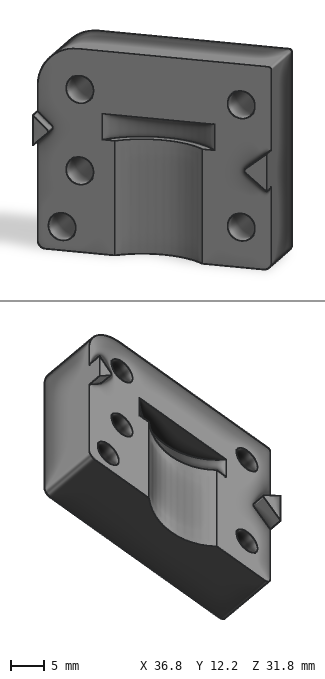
import cadquery as cq
import math

width = 36.83
block_depth = 9.9
height = 31.75
large_corner_radius = 6.35
bottom_corner_radius = 1.25
top_right_corner_radius = 0.5

hole_diameter = 4.3
left_hole_x = 6.65
right_hole_x = 32.08
upper_hole_z = 25.4
hole_centres = [
    (left_hole_x, upper_hole_z),
    (right_hole_x, upper_hole_z),
    (left_hole_x, upper_hole_z / 2),
    (right_hole_x, 6.3),
    (3.85, 3.72),
]

recess_x = 19.05
recess_axis_offset = 7.75
groove_width = 13.77
collar_width = 17.68
collar_bottom_z = 17.9
collar_top_z = 21.95

key_height = 2.3
key_tip_radius = 0.45
left_key_z = 0.6 * height
left_key_length = 2.6
left_key_base = 4.7
right_key_z = height / 2
right_key_length = 3.75
right_key_base = 5.9


def make_block():
    block = cq.Workplane("XY").box(width, block_depth, height, centered=False)
    block = block.edges("|Y and <X and >Z").fillet(large_corner_radius)
    block = block.edges("|Y and >X and >Z").fillet(top_right_corner_radius)
    return block.edges("|Y and <Z").fillet(bottom_corner_radius)


def make_holes():
    holes = cq.Workplane("XZ").pushPoints(hole_centres)
    return holes.circle(hole_diameter / 2).extrude(-block_depth)


def make_recess_step(opening_width, bottom_z, top_z):
    """Vertical cylinder that opens the front face to the given width."""
    radius = math.hypot(opening_width / 2, recess_axis_offset)
    step = cq.Workplane("XY", origin=(recess_x, -recess_axis_offset, bottom_z))
    return step.circle(radius).extrude(top_z - bottom_z)


def make_key(edge_x, centre_z, length, base):
    """Round-tipped triangle pointing inward from a side edge; a negative length points to -X.

    The length runs to the sharp apex, before the tip is rounded.
    """
    apex_x = edge_x + length
    outline = [
        (edge_x, centre_z - base / 2),
        (apex_x, centre_z),
        (edge_x, centre_z + base / 2),
    ]
    key = cq.Workplane("XZ").polyline(outline).close().extrude(key_height)
    tip_edge = "|Y and >X" if length > 0 else "|Y and <X"
    return key.edges(tip_edge).fillet(key_tip_radius)


body = make_block().cut(make_holes())
body = body.cut(make_recess_step(groove_width, 0, collar_bottom_z))
body = body.cut(make_recess_step(collar_width, collar_bottom_z, collar_top_z))
body = body.union(make_key(0, left_key_z, left_key_length, left_key_base))
body = body.union(make_key(width, right_key_z, -right_key_length, right_key_base))

result = body